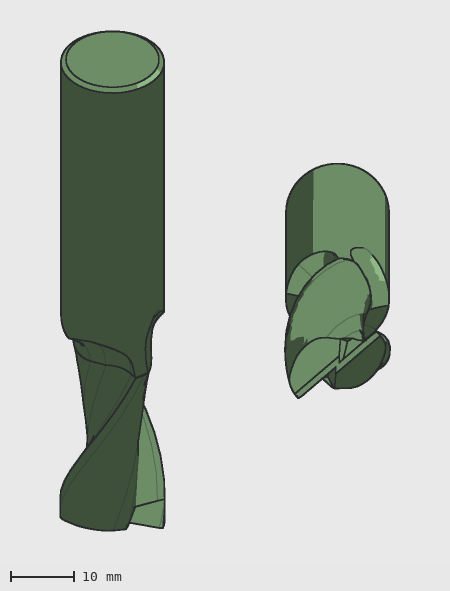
import cadquery as cq
import math

total_length = 90.0
head_length = 33.1
shank_radius = 8.1
cutter_radius = 8.235
top_chamfer_width = 0.8
top_chamfer_height = 0.5

helix_angle = 30.0
lead = 2 * math.pi * cutter_radius / math.tan(math.radians(helix_angle))
margin_angle = 10.0

relief_points = [
    (7.6, 2.6, 6.3),
    (5.85, 3.9, 9.45),
    (4.5, 4.6, 10.8),
    (2.9, 5.0, 9.45),
    (1.1, 5.1, 7.0),
]
heel = (-1.0, 4.4, 5.6)
flute_edge = (-3.1, 2.7, 7.2)
flute_floor = (-5.0, 0.7, 5.4)
rake_edge = (-7.0, 0.2, 3.6)

runout_length = 11.7
runout_levels = 7
runout_power = 2.5
runout_twist = -1.333

end_flat_half_width = 0.9
end_relief_slope = 0.34
gash_start = (-0.45, 0.1)
gash_roof_height = 1.2
gash_roof_slope = 0.44
gash_tilt = helix_angle
cut_reach = 10.8


def polar_point(radius, angle):
    return radius * math.cos(math.radians(angle)), radius * math.sin(math.radians(angle))


def turn(point, angle):
    c = math.cos(math.radians(angle))
    s = math.sin(math.radians(angle))
    return point[0] * c - point[1] * s, point[0] * s + point[1] * c


def flared(point, height):
    """Move a section point outwards where the flute runs out."""
    x, y, runout_height = point
    radius = math.hypot(x, y)
    rise = (cutter_radius - radius) * (height / runout_height) ** runout_power
    scale = 1 + rise / radius
    return x * scale, y * scale


def fluted_section(height):
    """Closed section wire; height is measured above the top of the head."""
    corner = (cutter_radius, 0.0)
    margin_middle = polar_point(cutter_radius, margin_angle / 2)
    margin_end = polar_point(cutter_radius, margin_angle)
    back = [flared(p, height) for p in relief_points + [heel]]
    edge = flared(flute_edge, height)
    floor = flared(flute_floor, height)
    rake = flared(rake_edge, height)
    section = cq.Workplane("XY").moveTo(*corner)
    for half_turn in (0, 180):
        section = section.threePointArc(turn(margin_middle, half_turn), turn(margin_end, half_turn))
        section = section.spline([turn(p, half_turn) for p in back], includeCurrent=True)
        section = section.lineTo(*turn(edge, half_turn))
        section = section.threePointArc(turn(floor, half_turn), turn(rake, half_turn))
        if half_turn == 0:
            section = section.lineTo(*turn(corner, 180))
    return section.close()


def helix_turn(z):
    return 360 * z / lead


def end_relief():
    """Wedges below the two sloping end faces."""
    outer_z = end_relief_slope * (cut_reach - end_flat_half_width)
    profile = [(end_flat_half_width, 0), (cut_reach, outer_z), (cut_reach, 0)]
    wedge = cq.Workplane("YZ").polyline(profile).close().extrude(cut_reach, both=True)
    return wedge.union(wedge.mirror("XZ"))


def gash():
    """Notch in front of the cutting edge on the -X side, with a sloping roof."""
    plan = [gash_start, (-cut_reach, gash_start[1]), (-cut_reach, flute_edge[1]), flute_edge[:2]]
    column = cq.Workplane("XY").polyline(plan).close().extrude(cut_reach, both=True)
    roof_end = gash_roof_height + gash_roof_slope * cut_reach
    roof = [(0, -cut_reach), (0, gash_roof_height), (-cut_reach, roof_end), (-cut_reach, -cut_reach)]
    below_roof = cq.Workplane("XZ").polyline(roof).close().extrude(cut_reach, both=True)
    notch = column.intersect(below_roof)
    return notch.rotate((0, 0, 0), (1, 0, 0), gash_tilt)


def make_cutting_head():
    head = fluted_section(0).twistExtrude(head_length, helix_turn(head_length))
    head = head.cut(end_relief())
    for half_turn in (0, 180):
        head = head.cut(gash().rotate((0, 0, 0), (0, 0, 1), half_turn))
    return head


def runout_blank():
    """Fluted core whose flutes flare outwards until they leave the shank."""
    wires = []
    for level in range(runout_levels):
        height = runout_length * level / (runout_levels - 1)
        z = head_length + height
        turned = helix_turn(head_length) + runout_twist * height
        wire = fluted_section(height).val()
        wire = wire.rotate(cq.Vector(0, 0, 0), cq.Vector(0, 0, 1), turned)
        wires.append(wire.translate(cq.Vector(0, 0, z)))
    return cq.Workplane(cq.Solid.makeLoft(wires))


def make_shank():
    runout_top = head_length + runout_length
    lower = cq.Workplane("XY").workplane(offset=head_length).circle(shank_radius).extrude(runout_length)
    lower = lower.intersect(runout_blank())
    top_radius = shank_radius - top_chamfer_width
    profile = [
        (0, runout_top),
        (shank_radius, runout_top),
        (shank_radius, total_length - top_chamfer_height),
        (top_radius, total_length),
        (0, total_length),
    ]
    upper = cq.Workplane("XZ").polyline(profile).close().revolve(360, (0, 0, 0), (0, 1, 0))
    return upper.union(lower).clean()


cutting_head = make_cutting_head()
shank = make_shank()
result = cq.Compound.makeCompound([cutting_head.val(), shank.val()])